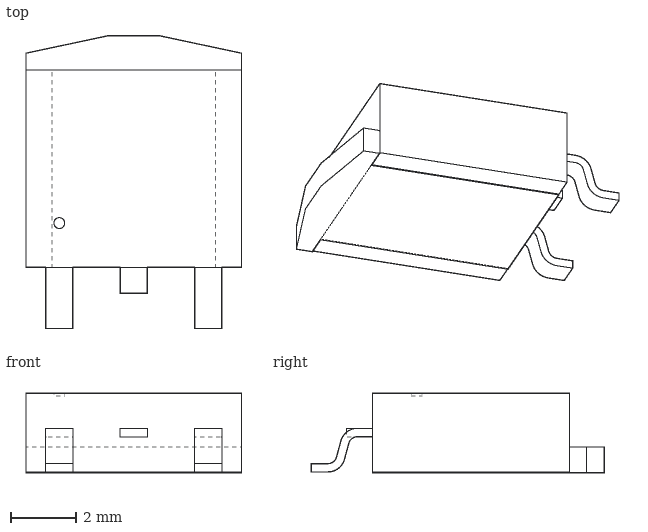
import cadquery as cq
import math

housing_width = 6.6
housing_front = 1.87
housing_back = 7.9
housing_bottom = 0.03
housing_top = 2.44
housing_length = housing_back - housing_front

tab_thickness = 0.8
tab_shoulder = 8.42
tab_back = 8.96
tab_end_width = 1.54
pad_inset = 0.81
pad_width = housing_width - 2 * pad_inset

lead_width = 0.83
lead_thickness = 0.26
lead_pitch = 2.28
lead_top = 1.36
foot_bottom = 0.03
foot_length = 0.51
short_lead_length = 0.8
inner_radius = 0.27
outer_radius = inner_radius + lead_thickness
bend_angle = 75.0

marker_diameter = 0.33
marker_depth = 0.09
marker_y = 3.23


def make_marker():
    return (
        cq.Workplane("XY", origin=(-lead_pitch, marker_y, housing_top - marker_depth))
        .circle(marker_diameter / 2)
        .extrude(marker_depth)
    )


def make_housing(marker):
    block = (
        cq.Workplane("XY", origin=(0, housing_front, housing_bottom))
        .box(housing_width, housing_length, housing_top - housing_bottom, centered=(True, False, False))
    )
    return block.cut(marker)


def make_tab():
    half_width = housing_width / 2
    half_end = tab_end_width / 2
    exposed_tab = (
        cq.Workplane("XY")
        .moveTo(-half_width, housing_back)
        .lineTo(half_width, housing_back)
        .lineTo(half_width, tab_shoulder)
        .lineTo(half_end, tab_back)
        .lineTo(-half_end, tab_back)
        .lineTo(-half_width, tab_shoulder)
        .close()
        .extrude(tab_thickness)
    )
    pad = (
        cq.Workplane("XY", origin=(0, housing_front, 0))
        .box(pad_width, housing_length, housing_bottom, centered=(True, False, False))
    )
    return exposed_tab.union(pad)


def make_short_lead():
    return (
        cq.Workplane("XY", origin=(0, housing_front - short_lead_length, lead_top - lead_thickness))
        .box(lead_width, short_lead_length, lead_thickness, centered=(True, False, False))
    )


def make_bent_lead(x):
    """Gull-wing lead: two equal bends joined by a straight, steep shank."""
    angle = math.radians(bend_angle)
    radius_sum = inner_radius + outer_radius
    drop = lead_top - lead_thickness - foot_bottom
    shank_drop = drop - radius_sum * (1 - math.cos(angle))
    shank_run = shank_drop / math.tan(angle)
    upper_y = foot_length + radius_sum * math.sin(angle) + shank_run
    upper_z = lead_top - outer_radius
    lower_z = foot_bottom + outer_radius

    def upper(radius, turn):
        return (upper_y - radius * math.sin(turn), upper_z + radius * math.cos(turn))

    def lower(radius, turn):
        return (foot_length + radius * math.sin(turn), lower_z - radius * math.cos(turn))

    return (
        cq.Workplane("YZ", origin=(x - lead_width / 2, 0, 0))
        .moveTo(housing_front, lead_top)
        .lineTo(*upper(outer_radius, 0))
        .threePointArc(upper(outer_radius, angle / 2), upper(outer_radius, angle))
        .lineTo(*lower(inner_radius, angle))
        .threePointArc(lower(inner_radius, angle / 2), lower(inner_radius, 0))
        .lineTo(0, foot_bottom + lead_thickness)
        .lineTo(0, foot_bottom)
        .lineTo(*lower(outer_radius, 0))
        .threePointArc(lower(outer_radius, angle / 2), lower(outer_radius, angle))
        .lineTo(*upper(inner_radius, angle))
        .threePointArc(upper(inner_radius, angle / 2), upper(inner_radius, 0))
        .lineTo(housing_front, lead_top - lead_thickness)
        .close()
        .extrude(lead_width)
    )


marker = make_marker()
housing = make_housing(marker)
tab = make_tab()
short_lead = make_short_lead()
bent_leads = [make_bent_lead(x).val() for x in (-lead_pitch, lead_pitch)]

result = cq.Compound.makeCompound(
    [housing.val(), tab.val(), marker.val(), short_lead.val(), *bent_leads]
)